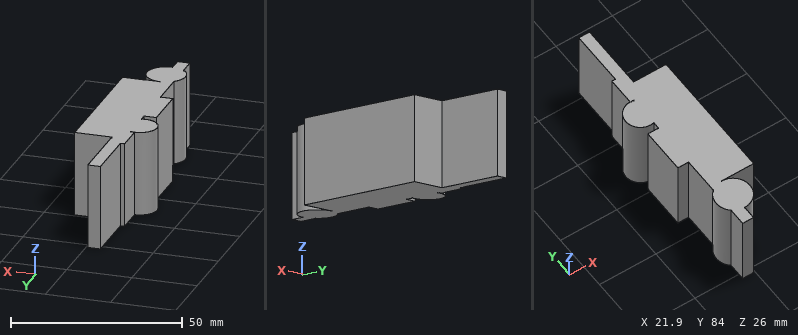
import cadquery as cq

length = 84.0
height = 26.0

plate_thickness = 3.9

block_right = 15.4
block_start = 16.5
block_end = 61.4

pad_depth = 3.8
pad_start = 27.7
pad_end = 43.1

step_depth = 1.3
step_end = 65.2

left_column_radius = 5.2
left_column_y = 50.6

step_overlap = 0.02
step_start = left_column_y + left_column_radius - step_overlap

lower_column_radius = 6.0
lower_column_y = block_start - lower_column_radius


def box_between(x_start, x_end, y_start, y_end):
    """Full-height box spanning the given X and Y ranges."""
    size_x = x_end - x_start
    size_y = y_end - y_start
    box = cq.Workplane("XY").box(size_x, size_y, height, centered=False)
    return box.translate((x_start, y_start, 0))


def column(x, y, radius):
    """Full-height round column."""
    return cq.Workplane("XY").center(x, y).circle(radius).extrude(height)


plate = box_between(0, plate_thickness, 0, length)
block = box_between(0, block_right, block_start, block_end)
pad = box_between(-pad_depth, plate_thickness, pad_start, pad_end)
step = box_between(-step_depth, plate_thickness, step_start, step_end)
left_column = column(-step_depth, left_column_y, left_column_radius)
lower_column = column(plate_thickness, lower_column_y, lower_column_radius)

result = plate.union(block).union(pad).union(step).union(left_column).union(lower_column)